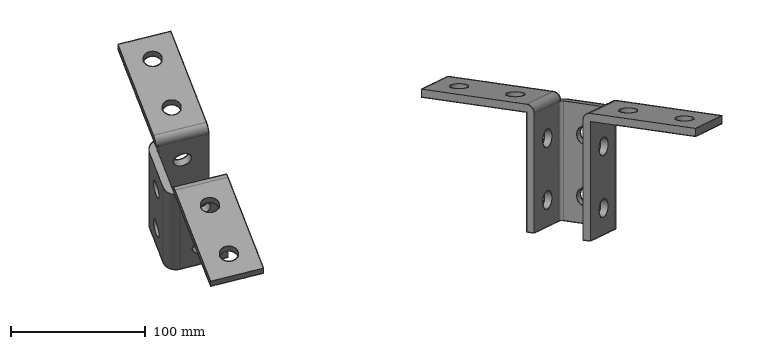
import cadquery as cq

length = 231.7
height = 98.5
depth = 47.5
thickness = 6.3
inner_width = 41.2
corner_radius = 10.0
inner_radius = 2.3
hole_diameter = 14.1
hole_edge = 20.6
hole_spacing = 47.5

outer_width = inner_width + 2 * thickness
channel_height = height - thickness
wing_depth = depth - thickness
back_y = depth / 2
front_y = -depth / 2
wing_front_y = front_y + thickness
wing_center_y = back_y - wing_depth / 2
hole_heights = [hole_edge, hole_edge + hole_spacing]
inner_half = inner_width / 2


def make_channel():
    """U-shaped upright, open to the back, with rounded bends."""
    outer = (
        cq.Workplane("XY")
        .box(outer_width, depth, channel_height, centered=(True, True, False))
        .edges("|Z and <Y")
        .fillet(corner_radius)
    )
    opening = (
        cq.Workplane("XY")
        .center(0, wing_center_y)
        .box(inner_width, wing_depth, channel_height, centered=(True, True, False))
        .edges("|Z and <Y")
        .fillet(inner_radius)
    )
    return outer.cut(opening)


def make_wing(side):
    """Horizontal wing on one side (-1 or +1), rounded where it bends into the channel."""
    bend_tip = (side * inner_half, channel_height)
    bend_top = (side * (inner_half + thickness), height)
    bend_center_x = side * (inner_half + thickness)
    arc_offset = thickness * 0.5**0.5
    bend_middle = (bend_center_x - side * arc_offset, channel_height + arc_offset)
    return (
        cq.Workplane("XZ", origin=(0, back_y, 0))
        .moveTo(*bend_tip)
        .threePointArc(bend_middle, bend_top)
        .lineTo(side * length / 2, height)
        .lineTo(side * length / 2, channel_height)
        .close()
        .extrude(wing_depth)
    )


def make_wing_holes():
    """Two vertical holes through each wing."""
    outer_x = length / 2 - hole_edge
    inner_x = outer_x - hole_spacing
    points = [(x, wing_center_y) for x in (-outer_x, -inner_x, inner_x, outer_x)]
    return (
        cq.Workplane("XY", origin=(0, 0, channel_height))
        .pushPoints(points)
        .circle(hole_diameter / 2)
        .extrude(thickness)
    )


def make_web_holes():
    """Two holes through the front web."""
    return (
        cq.Workplane("XZ", origin=(0, wing_front_y, 0))
        .pushPoints([(0, z) for z in hole_heights])
        .circle(hole_diameter / 2)
        .extrude(thickness)
    )


def make_side_holes():
    """Two holes passing through both side walls."""
    return (
        cq.Workplane("YZ")
        .pushPoints([(wing_center_y, z) for z in hole_heights])
        .circle(hole_diameter / 2)
        .extrude(outer_width / 2, both=True)
    )


bracket = make_channel().union(make_wing(-1)).union(make_wing(1))
result = bracket.cut(make_wing_holes()).cut(make_web_holes()).cut(make_side_holes())